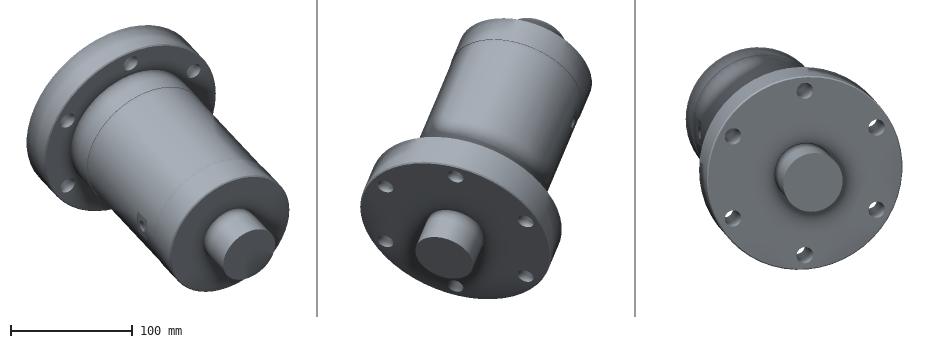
import cadquery as cq

shaft_length = 247.0
shaft_radius = 25.0
bore_chamfer = 0.7

flange_start = 30.0
flange_thickness = 30.0
front_collar_length = 25.2
rear_collar_length = 24.7
housing_length = 187.0
flange_end = flange_start + flange_thickness
front_collar_end = flange_end + front_collar_length
housing_end = flange_start + housing_length
rear_collar_start = housing_end - rear_collar_length

flange_radius = 82.5
collar_radius = 57.5
barrel_radius = 57.0
edge_chamfer = 1.0

bolt_count = 6
bolt_circle_radius = 70.0
bolt_hole_radius = 7.0

port_x = 170.7
flat_length = 15.0
flat_distance = 56.0
port_radius = 4.2
port_mouth_radius = 5.0
port_mouth_depth = 10.0


def disc(start, end, radius):
    """Solid cylinder along X between two stations."""
    return cq.Workplane("YZ", origin=(start, 0, 0)).circle(radius).extrude(end - start)


def make_shaft():
    return disc(0, shaft_length, shaft_radius)


def cut_bolt_holes(body):
    holes = (
        cq.Workplane("YZ", origin=(flange_start, 0, 0))
        .polarArray(bolt_circle_radius, 90, 360, bolt_count)
        .circle(bolt_hole_radius)
        .extrude(flange_thickness)
    )
    return body.cut(holes)


def cut_port(body, side):
    """Cut a flat and a stepped port into the bore on the -Y (side=-1) or +Y (side=1) face."""
    flat_depth = collar_radius - flat_distance
    flat = cq.Workplane("XY").box(flat_length, flat_depth, 2 * collar_radius)
    flat = flat.translate((port_x, side * (flat_distance + flat_depth / 2), 0))

    outward = cq.Vector(0, side, 0)
    drilling = cq.Solid.makeCylinder(port_radius, flat_distance, cq.Vector(port_x, 0, 0), outward)
    mouth_base = cq.Vector(port_x, side * (flat_distance - port_mouth_depth), 0)
    mouth = cq.Solid.makeCylinder(port_mouth_radius, port_mouth_depth, mouth_base, outward)
    return body.cut(flat).cut(cq.Workplane(drilling)).cut(cq.Workplane(mouth))


def cut_bore(body):
    """Cut the bore that fits the shaft, with a small chamfer at each mouth."""
    body = body.cut(disc(flange_start, housing_end, shaft_radius))
    for mouth_x, inward in ((flange_start, 1), (housing_end, -1)):
        mouth = cq.Solid.makeCone(
            shaft_radius + bore_chamfer,
            shaft_radius,
            bore_chamfer,
            cq.Vector(mouth_x, 0, 0),
            cq.Vector(inward, 0, 0),
        )
        body = body.cut(cq.Workplane(mouth))
    return body


def make_housing():
    flange = disc(flange_start, flange_end, flange_radius).edges().chamfer(edge_chamfer)
    front_collar = disc(flange_end, front_collar_end, collar_radius)
    barrel = disc(front_collar_end, rear_collar_start, barrel_radius)
    rear_collar = disc(rear_collar_start, housing_end, collar_radius).edges(">X").chamfer(edge_chamfer)
    body = flange.union(front_collar).union(barrel).union(rear_collar)
    body = cut_bolt_holes(body)
    for side in (-1, 1):
        body = cut_port(body, side)
    return cut_bore(body)


housing = make_housing()
shaft = make_shaft()
result = cq.Compound.makeCompound([housing.val(), shaft.val()])